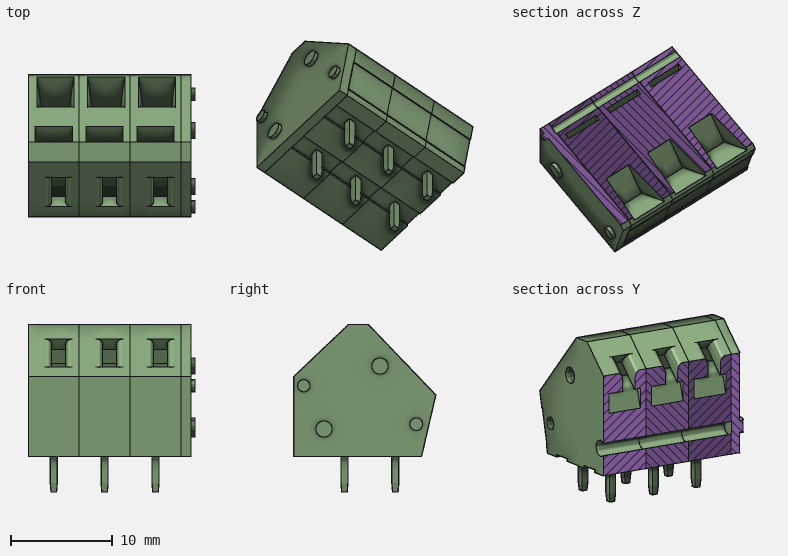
import cadquery as cq
import math


module_count = 3
pitch = 5.0
end_plate_width = 1.0
peg_length = 0.4

overall_height = 16.5
body_depth = 14.0
body_height = 13.0
front_wall_height = 7.85
ridge_front_y = 5.41
ridge_back_y = 7.35
back_corner_z = 6.05
back_foot_y = 12.59

large_peg_diameter = 1.6
front_peg_diameter = 1.2
back_peg_diameter = 1.25
peg_places = [
    (8.5, 8.9, large_peg_diameter),
    (2.99, 2.7, large_peg_diameter),
    (1.0, 6.96, front_peg_diameter),
    (12.06, 3.18, back_peg_diameter),
]

entry_center_x = 2.99
entry_width = 2.65
entry_low_y = 1.02
entry_high_y = 3.88
throat_width = 1.37
throat_depth = 1.4

slot_width = 3.65
slot_far_y = 8.9
clamp_center_y = 4.54
clamp_center_z = 7.5
clamp_radius = 1.65
clamp_face_lean = 16.0
overshoot = 1.65

pocket_center_x = 2.65
pocket_width = 3.65
pocket_high_y = 10.8
pocket_low_y = 13.76
pocket_depth = 3.96
pocket_taper = 7.0

pin_rows = [pitch, 2 * pitch]
channel_width = 1.91
channel_height = 0.26
recess_low_z = 0.85
recess_high_z = 4.37
recess_depth = 0.08
pin_thickness = 0.71
pin_tip_thickness = 0.56
pin_tip_length = 0.87
pin_reach = overall_height - body_height

front_slope_rise = (body_height - front_wall_height) / ridge_front_y
front_slope_angle = math.atan(front_slope_rise)
back_slope_fall = (body_height - back_corner_z) / (body_depth - ridge_back_y)
back_slope_angle = math.atan(back_slope_fall)
back_wall_lean = (body_depth - back_foot_y) / back_corner_z


def front_slope_z(y):
    return front_wall_height + front_slope_rise * y


def back_slope_z(y):
    return body_height - back_slope_fall * (y - ridge_back_y)


def back_wall_y(z):
    return back_foot_y + back_wall_lean * z


def side_profile(start_x=0):
    """A sketch plane at X = start_x whose local axes are Y and Z and whose normal is +X."""
    return cq.Workplane("YZ", origin=(start_x, 0, 0))


def body_block(width):
    outline = [
        (0, 0),
        (0, front_wall_height),
        (ridge_front_y, body_height),
        (ridge_back_y, body_height),
        (body_depth, back_corner_z),
        (back_foot_y, 0),
    ]
    return side_profile().polyline(outline).close().extrude(width)


def peg_cylinders(length):
    pegs = cq.Workplane()
    for y, z, diameter in peg_places:
        pegs = pegs.add(side_profile().center(y, z).circle(diameter / 2).extrude(length))
    return pegs.combine()


def below_front_slope(y, depth):
    """The point (Y, Z) at a depth square to the front slope, under the slope's point at y."""
    return (
        y + depth * math.sin(front_slope_angle),
        front_slope_z(y) - depth * math.cos(front_slope_angle),
    )


def clamp_point(angle):
    """The point (Y, Z) on the clamp's rounded top, at an angle from +Y towards +Z."""
    return (
        clamp_center_y + clamp_radius * math.cos(angle),
        clamp_center_z + clamp_radius * math.sin(angle),
    )


def wire_entry():
    """The throat through the front wall, with both sides rounded outwards at the mouth."""
    mid_y = (entry_low_y + entry_high_y) / 2
    length = (entry_high_y - entry_low_y) / math.cos(front_slope_angle)
    mouth_radius = (entry_width - throat_width) / 2
    section_plane = cq.Plane(
        origin=(entry_center_x, mid_y, front_slope_z(mid_y)),
        xDir=(1, 0, 0),
        normal=(0, -math.cos(front_slope_angle), -math.sin(front_slope_angle)),
    )
    half_mouth = entry_width / 2
    half_throat = throat_width / 2
    diagonal = mouth_radius * math.sqrt(0.5)
    arc_x = half_mouth - diagonal
    arc_depth = mouth_radius - diagonal
    return (
        cq.Workplane(section_plane)
        .moveTo(-half_mouth, 0)
        .lineTo(half_mouth, 0)
        .threePointArc((arc_x, -arc_depth), (half_throat, -mouth_radius))
        .lineTo(half_throat, -throat_depth)
        .lineTo(-half_throat, -throat_depth)
        .lineTo(-half_throat, -mouth_radius)
        .threePointArc((-arc_x, -arc_depth), (-half_mouth, 0))
        .close()
        .extrude(length / 2, both=True)
    )


def driver_slot():
    """The slot from the back slope down behind the front wall, ending around the clamp."""
    up_slope = (math.cos(front_slope_angle), math.sin(front_slope_angle))
    inward = (math.sin(front_slope_angle), -math.cos(front_slope_angle))
    throat_foot = below_front_slope(entry_low_y, throat_depth)
    near_end = below_front_slope(ridge_back_y, throat_depth)

    lean = math.radians(clamp_face_lean)
    crease = clamp_point(math.pi - lean)
    face_foot = (throat_foot[0], crease[1] - (crease[0] - throat_foot[0]) / math.tan(lean))

    far_edge = (slot_far_y, back_slope_z(slot_far_y))
    offset = (far_edge[0] - clamp_center_y) * inward[0] + (far_edge[1] - clamp_center_z) * inward[1]
    clamp_end = clamp_point(front_slope_angle - math.asin(offset / clamp_radius))
    far_end = (far_edge[0] + up_slope[0] * overshoot, far_edge[1] + up_slope[1] * overshoot)

    return (
        side_profile((pitch - slot_width) / 2)
        .polyline([far_end, near_end, throat_foot, face_foot, crease])
        .threePointArc(clamp_point(math.pi / 2), clamp_end)
        .lineTo(*far_end)
        .close()
        .extrude(slot_width)
    )


def tapered_pocket():
    """The rectangular pocket in the back slope, narrowing on all four sides as it deepens."""
    mid_y = (pocket_high_y + pocket_low_y) / 2
    length = (pocket_low_y - pocket_high_y) / math.cos(back_slope_angle)
    mouth_plane = cq.Plane(
        origin=(pocket_center_x, mid_y, back_slope_z(mid_y)),
        xDir=(1, 0, 0),
        normal=(0, -math.sin(back_slope_angle), -math.cos(back_slope_angle)),
    )
    narrowing = 2 * pocket_depth * math.tan(math.radians(pocket_taper))
    return (
        cq.Workplane(mouth_plane)
        .rect(pocket_width, length)
        .workplane(offset=pocket_depth)
        .rect(pocket_width - narrowing, length - narrowing)
        .loft(ruled=True)
    )


def pin_channels():
    """Shallow channels across the underside, one above each row of pins."""
    return (
        cq.Workplane("XY")
        .pushPoints([(pitch / 2, y) for y in pin_rows])
        .rect(pitch, channel_width)
        .extrude(channel_height)
    )


def back_recess():
    """A shallow recess across the leaning back wall."""
    low_y = back_wall_y(recess_low_z)
    high_y = back_wall_y(recess_high_z)
    outline = [
        (low_y, recess_low_z),
        (high_y, recess_high_z),
        (high_y - recess_depth, recess_high_z),
        (low_y - recess_depth, recess_low_z),
    ]
    return side_profile().polyline(outline).close().extrude(pitch)


def make_module():
    return (
        body_block(pitch)
        .cut(wire_entry())
        .cut(driver_slot())
        .cut(tapered_pocket())
        .cut(pin_channels())
        .cut(back_recess())
        .cut(peg_cylinders(pitch))
    )


def make_end_plate():
    return body_block(end_plate_width).union(peg_cylinders(end_plate_width + peg_length))


def make_pin():
    """A square pin with a tapered tip, its head at the ceiling of the channel."""
    tip_top_z = pin_tip_length - pin_reach
    shank = (
        cq.Workplane("XY", origin=(0, 0, tip_top_z))
        .rect(pin_thickness, pin_thickness)
        .extrude(channel_height - tip_top_z)
    )
    tip = (
        cq.Workplane("XY", origin=(0, 0, tip_top_z))
        .rect(pin_thickness, pin_thickness)
        .workplane(offset=-pin_tip_length)
        .rect(pin_tip_thickness, pin_tip_thickness)
        .loft()
    )
    return shank.union(tip)


modules = []
pins = []
for index in range(module_count):
    module_x = index * pitch
    modules.append(make_module().translate((module_x, 0, 0)).val())
    for pin_y in pin_rows:
        pins.append(make_pin().translate((module_x + pitch / 2, pin_y, 0)).val())

end_plate = make_end_plate().translate((module_count * pitch, 0, 0))

result = cq.Compound.makeCompound([*modules, end_plate.val(), *pins])